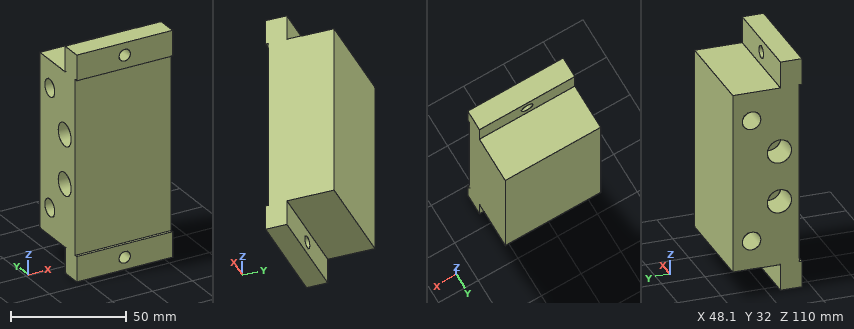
import cadquery as cq

width = 48.1
depth = 32.0
height = 110.0

flange_height = 12.4
flange_thickness = 10.0
front_recess = 1.3
body_height = height - 2 * flange_height
body_depth = depth - front_recess

mount_hole_diameter = 5.6
mount_hole_spacing = 97.9

main_port_diameter = 11.1
main_port_setback = 10.5
main_port_spacing = 24.0
pilot_port_diameter = 8.5
pilot_port_setback = 23.3
pilot_port_spacing = 58.0
port_depth = 13.2


def block(front_y, thickness, block_height, center_z):
    """Full-width block starting at front_y and centred on center_z."""
    return (
        cq.Workplane("XY")
        .box(width, thickness, block_height, centered=(True, False, True))
        .translate((0, front_y, center_z))
    )


def port_pair(diameter, setback, spacing):
    """Two blind holes entering the -X face, mirrored about mid-height."""
    return (
        cq.Workplane("YZ", origin=(-width / 2, 0, 0))
        .pushPoints([(setback, -spacing / 2), (setback, spacing / 2)])
        .circle(diameter / 2)
        .extrude(port_depth)
    )


def mounting_holes():
    """Two holes through the full thickness of the flanges."""
    return (
        cq.Workplane("XZ")
        .pushPoints([(0, -mount_hole_spacing / 2), (0, mount_hole_spacing / 2)])
        .circle(mount_hole_diameter / 2)
        .extrude(-flange_thickness)
    )


result = block(front_recess, body_depth, body_height, 0)
for side in (-1, 1):
    flange_center_z = side * (height - flange_height) / 2
    result = result.union(block(0, flange_thickness, flange_height, flange_center_z))

result = result.cut(mounting_holes())
result = result.cut(port_pair(main_port_diameter, main_port_setback, main_port_spacing))
result = result.cut(port_pair(pilot_port_diameter, pilot_port_setback, pilot_port_spacing))